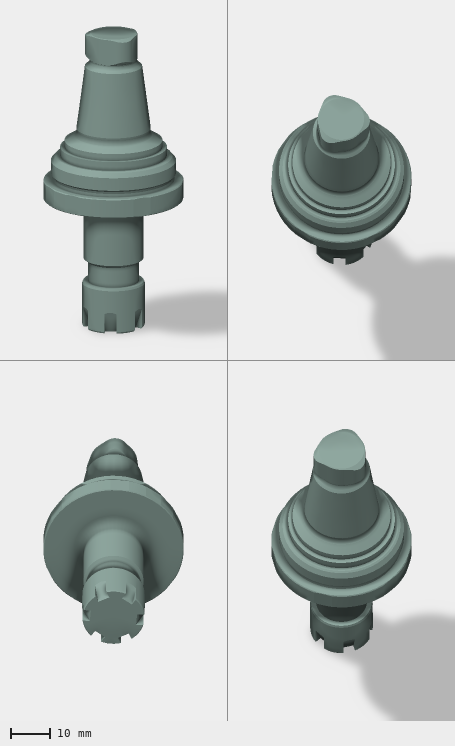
import cadquery as cq
import math


nut_r = 16.0 / 2
nut_face_r = 15.5 / 2
nut_top = 11.9
nut_top_chamfer = 0.55
nut_face_chamfer = 0.4
slot_count = 6
first_slot_angle = 30
slot_width = 3.1
slot_floor_r = 5.9
slot_height = 5.6

nose_r = 13.0 / 2
nose_top = 17.15
shank_r = 15.4 / 2
shank_bottom = 18.0
shank_fillet = 2.35

flange_r = 17.95
flange_bottom = 33.9
flange_top = 39.0
flange_chamfer = 0.2
flat_distance = 17.8
flat_angles = (0, 60, 90, 120, 180, 240, 270, 300)

groove_r = 15.2
groove_lip_r = 15.6
groove_bottom = 39.6
groove_top = 40.2
collar_r = 16.0
collar_bottom = 40.7
collar_shoulder = 44.1
collar_bevel_r = 15.05
collar_bevel_z = 45.2
collar_top_r = 14.5
collar_top = 45.4
middle_step_r = 13.65
middle_step_top = 47.65
upper_step_r = 25.0 / 2
upper_step_top = 49.45
cone_top_r = 10.15
cone_top = 50.85

waist_r = 9.35
waist_z = 52.0
waist_arc_mid = (9.5, 51.3)
taper_bottom_r = 9.5
taper_bottom = 52.7
taper_top_r = 7.3
taper_top = 69.3
taper_edge_r = 6.7
taper_edge_z = 69.8

neck_r = 6.0
neck_z = 70.75
neck_arc_mid = (6.25, 70.3)
head_bottom = 71.05
head_top = 78.0
head_face_r = 5.8
lobe_tip_r = 7.25
lobe_r = 3.0
lobe_half_width = 2.2
lobe_bottom = 72.2
lobe_top = 77.45
valley_r = 6.1
valley_half_width = 2.2
lobe_count = 3


def make_body():
    """Revolve everything from the nut face to the neck, which ends inside the head."""
    fillet_mid = shank_fillet * (1 - math.sqrt(0.5))
    profile = (
        cq.Workplane("XZ")
        .moveTo(0, 0)
        .lineTo(nut_face_r, 0)
        .lineTo(nut_r, nut_face_chamfer)
        .lineTo(nut_r, nut_top - nut_top_chamfer)
        .lineTo(nut_face_r, nut_top)
        .lineTo(nose_r, nut_top)
        .lineTo(nose_r, nose_top)
        .lineTo(shank_r, shank_bottom)
        .lineTo(shank_r, flange_bottom - shank_fillet)
        .threePointArc(
            (shank_r + fillet_mid, flange_bottom - fillet_mid),
            (shank_r + shank_fillet, flange_bottom),
        )
        .lineTo(flange_r - flange_chamfer, flange_bottom)
        .lineTo(flange_r, flange_bottom + flange_chamfer)
        .lineTo(flange_r, flange_top - flange_chamfer)
        .lineTo(flange_r - flange_chamfer, flange_top)
        .lineTo(groove_lip_r, flange_top)
        .lineTo(groove_r, groove_bottom)
        .lineTo(groove_r, groove_top)
        .lineTo(collar_r, collar_bottom)
        .lineTo(collar_r, collar_shoulder)
        .lineTo(collar_bevel_r, collar_bevel_z)
        .lineTo(collar_top_r, collar_top)
        .lineTo(middle_step_r, collar_top)
        .lineTo(middle_step_r, middle_step_top)
        .lineTo(upper_step_r, middle_step_top)
        .lineTo(upper_step_r, upper_step_top)
        .lineTo(cone_top_r, cone_top)
        .threePointArc(waist_arc_mid, (waist_r, waist_z))
        .lineTo(taper_bottom_r, taper_bottom)
        .lineTo(taper_top_r, taper_top)
        .lineTo(taper_edge_r, taper_edge_z)
        .threePointArc(neck_arc_mid, (neck_r, neck_z))
        .lineTo(neck_r, lobe_bottom)
        .lineTo(0, lobe_bottom)
        .close()
    )
    return profile.revolve(360, (0, 0, 0), (0, 1, 0))


def cut_flange_flats(body):
    """Trim the flange rim with planes parallel to the axis."""
    height = flange_top - flange_bottom
    for angle in flat_angles:
        cutter = (
            cq.Workplane("XY", origin=(0, 0, flange_bottom))
            .center(flat_distance + flange_r / 2, 0)
            .rect(flange_r, 2 * flange_r)
            .extrude(height)
            .rotate((0, 0, 0), (0, 0, 1), angle)
        )
        body = body.cut(cutter)
    return body


def cut_spanner_slots(body):
    """Cut the slots of the nut; each floor slants outwards going up."""
    floor_slope = (nut_r - slot_floor_r) / slot_height
    overrun = 1.55
    slot = (
        cq.Workplane("XZ")
        .polyline([
            (slot_floor_r - overrun * floor_slope, -overrun),
            (nut_r + overrun * floor_slope, slot_height + overrun),
            (nut_r + overrun, -overrun),
        ])
        .close()
        .extrude(slot_width / 2, both=True)
    )
    for index in range(slot_count):
        angle = first_slot_angle + index * 360 / slot_count
        body = body.cut(slot.rotate((0, 0, 0), (0, 0, 1), angle))
    return body


def turned(point, angle):
    """Turn an XY point about the axis by an angle in degrees."""
    a = math.radians(angle)
    x, y = point
    return (x * math.cos(a) - y * math.sin(a), x * math.sin(a) + y * math.cos(a))


def make_head():
    """Three-lobed prism, bevelled above and below by cones."""
    pitch = 360 / lobe_count
    lobe_end_x = lobe_tip_r - lobe_r + math.sqrt(lobe_r**2 - lobe_half_width**2)
    valley_half_angle = math.degrees(math.asin(valley_half_width / valley_r))
    outline = cq.Workplane("XY", origin=(0, 0, head_bottom)).moveTo(lobe_end_x, -lobe_half_width)
    for index in range(lobe_count):
        lobe_angle = index * pitch
        valley_angle = lobe_angle + pitch / 2
        next_lobe = lobe_angle + pitch
        outline = (
            outline
            .threePointArc(
                turned((lobe_tip_r, 0), lobe_angle),
                turned((lobe_end_x, lobe_half_width), lobe_angle),
            )
            .lineTo(*turned((valley_r, 0), valley_angle - valley_half_angle))
            .threePointArc(
                turned((valley_r, 0), valley_angle),
                turned((valley_r, 0), valley_angle + valley_half_angle),
            )
        )
        if index < lobe_count - 1:
            outline = outline.lineTo(*turned((lobe_end_x, -lobe_half_width), next_lobe))
    prism = outline.close().extrude(head_top - head_bottom)
    envelope = (
        cq.Workplane("XZ")
        .polyline([
            (0, head_bottom),
            (neck_r, head_bottom),
            (lobe_tip_r, lobe_bottom),
            (lobe_tip_r, lobe_top),
            (head_face_r, head_top),
            (0, head_top),
        ])
        .close()
        .revolve(360, (0, 0, 0), (0, 1, 0))
    )
    return prism.intersect(envelope)


result = cut_spanner_slots(cut_flange_flats(make_body())).union(make_head())